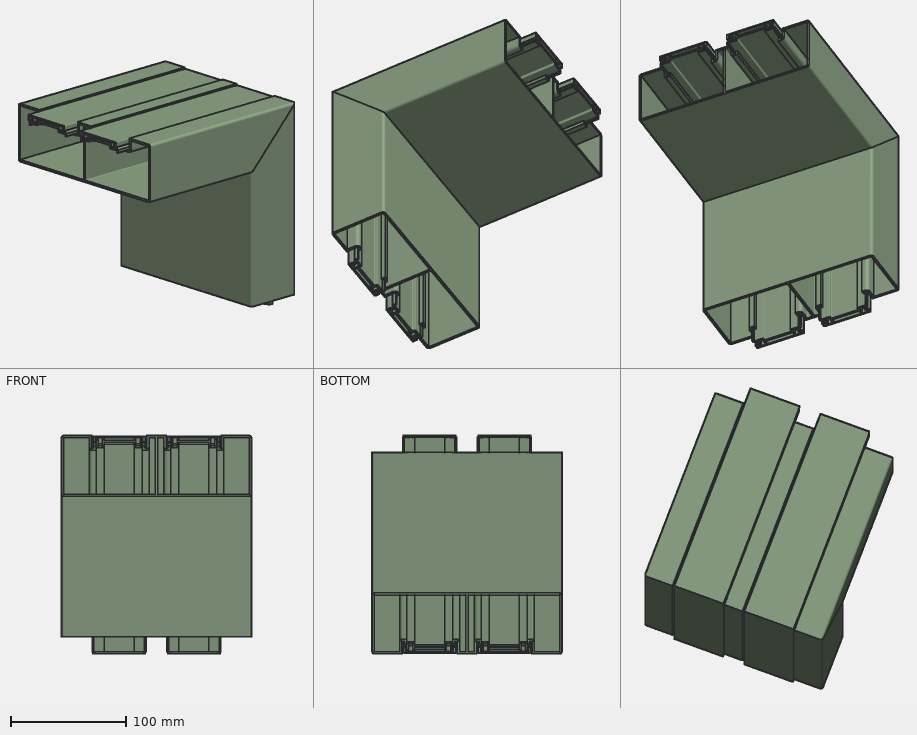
import cadquery as cq


WIDTH = 165.0
ARM_HEIGHT = 53.0
HOUSING_LENGTH = 174.9
WALL = 1.9
EDGE_RADIUS = 2.5
DIVIDER_FILLET = 0.5

SLOT_OFFSET = 32.5
SLOT_HALF = 23.9
HOOK_LENGTH = 12.9
HOOK_WALL = 2.0
HOOK_OPENING = 1.9
HOOK_RADIUS = 3.0

LID_LENGTH = 189.7
LID_HALF = 22.8
LID_TOP = 0.8
LID_UNDERSIDE = 2.0
LID_LEG = 2.0
LID_BOTTOM = 5.7
LID_EDGE_RADIUS = 0.5

RAIL_SETBACK = 1.7
RAIL_HALF = 23.3
WEB_TOP = 4.2
WEB_BOTTOM = 6.0
BASE_TOP = 7.2
BASE_BOTTOM = 9.0
RAIL_WALL = 1.5
OUTER_UPRIGHT_HALF = 19.7
INNER_UPRIGHT_HALF = 14.6
WEB_FILLET = 0.5
BEAD_TOP = 5.9
BEAD_WIDEST_TOP = 8.0
BEAD_WIDEST_BOTTOM = 9.3
BEAD_BOTTOM_BEVEL = 0.2

HOOK_OUTER_HALF = SLOT_HALF + HOOK_WALL
HOOK_FLOOR = HOOK_LENGTH - HOOK_WALL
LIP_HALF = SLOT_HALF - HOOK_OPENING
LID_INNER_HALF = LID_HALF - LID_LEG
RAIL_LENGTH = LID_LENGTH - RAIL_SETBACK
SLOT_CENTRES = (-SLOT_OFFSET, SLOT_OFFSET)


def block(x_min, x_max, depth_min, depth_max, length):
    """Straight bar along the Y arm, from the corner plane Y = 0 to Y = -length."""
    bar = cq.Workplane("XY").box(x_max - x_min, length, depth_max - depth_min, centered=False)
    return bar.translate((x_min, -length, -depth_max))


def symmetric_bar(half_outline, length):
    """Bar along the Y arm from (half width, depth) points, mirrored about X = 0."""
    right = [(x, -depth) for x, depth in half_outline]
    left = [(-x, z) for x, z in reversed(right)]
    return cq.Workplane("XZ").polyline(right + left).close().extrude(length)


def mitre(bar, setback=0.0):
    """Keep the part of a Y arm bar on the -Y side of the 45 degree plane Y = Z - setback."""
    reach = LID_LENGTH
    corner_wedge = (
        cq.Workplane("YZ")
        .polyline([(-setback, 0), (reach, 0), (reach, -reach), (-reach - setback, -reach)])
        .close()
        .extrude(WIDTH / 2, both=True)
    )
    return bar.cut(corner_wedge)


def swing_to_z_arm(bar):
    """Reflect a Y arm body in the mitre plane, which turns it into its Z arm twin."""
    return bar.mirror(cq.Vector(0, 1, -1))


def fillet_beside_divider(housing):
    """Round the inner corners of the narrow spaces between the divider and its nearest hooks."""
    reach = SLOT_OFFSET - HOOK_OUTER_HALF + DIVIDER_FILLET
    for depth in (WALL, ARM_HEIGHT - WALL):
        strip = cq.selectors.BoxSelector(
            (-reach, -HOUSING_LENGTH, -depth - DIVIDER_FILLET),
            (reach, 0, -depth + DIVIDER_FILLET),
        )
        housing = housing.edges("|Y").edges(strip).fillet(DIVIDER_FILLET)
    return housing


def make_housing():
    """Rectangular tube with a central divider and two slots, each lined by a pair of J hooks."""
    tube = block(-WIDTH / 2, WIDTH / 2, 0, ARM_HEIGHT, HOUSING_LENGTH).edges("|Y").fillet(EDGE_RADIUS)
    bore = block(-WIDTH / 2 + WALL, WIDTH / 2 - WALL, WALL, ARM_HEIGHT - WALL, HOUSING_LENGTH)
    divider = block(-WALL / 2, WALL / 2, 0, ARM_HEIGHT, HOUSING_LENGTH)
    housing = tube.cut(bore).union(divider)
    opening_half = LIP_HALF - HOOK_WALL
    for centre in SLOT_CENTRES:
        hooks = block(-HOOK_OUTER_HALF, HOOK_OUTER_HALF, 0, HOOK_LENGTH, HOUSING_LENGTH)
        hooks = hooks.edges("|Y and <Z").fillet(HOOK_RADIUS)
        channel = block(-SLOT_HALF, SLOT_HALF, 0, HOOK_FLOOR, HOUSING_LENGTH)
        lips = block(-LIP_HALF, LIP_HALF, BASE_BOTTOM, HOOK_LENGTH, HOUSING_LENGTH)
        opening = block(-opening_half, opening_half, 0, HOOK_LENGTH, HOUSING_LENGTH)
        housing = housing.union(hooks.translate((centre, 0, 0)))
        housing = housing.cut(channel.translate((centre, 0, 0)))
        housing = housing.union(lips.translate((centre, 0, 0)))
        housing = housing.cut(opening.translate((centre, 0, 0)))
    return mitre(fillet_beside_divider(housing))


def make_lid(centre):
    """Flat cover with a short leg along each side."""
    plate = block(-LID_HALF, LID_HALF, LID_TOP, LID_BOTTOM, LID_LENGTH)
    plate = plate.edges("|Y").fillet(LID_EDGE_RADIUS)
    recess = block(-LID_INNER_HALF, LID_INNER_HALF, LID_UNDERSIDE, LID_BOTTOM, LID_LENGTH)
    return mitre(plate.cut(recess)).translate((centre, 0, 0))


def make_rail(centre):
    """Web with a double-walled base on each side, whose outer bead sits in the housing hook."""
    web_end = INNER_UPRIGHT_HALF - RAIL_WALL
    half_outline = [
        (web_end, WEB_TOP),
        (web_end, LID_UNDERSIDE),
        (INNER_UPRIGHT_HALF, LID_UNDERSIDE),
        (INNER_UPRIGHT_HALF, BASE_TOP),
        (OUTER_UPRIGHT_HALF - RAIL_WALL, BASE_TOP),
        (OUTER_UPRIGHT_HALF - RAIL_WALL, LID_UNDERSIDE),
        (OUTER_UPRIGHT_HALF, LID_UNDERSIDE),
        (OUTER_UPRIGHT_HALF, BASE_TOP),
        (LID_INNER_HALF, BASE_TOP),
        (LID_INNER_HALF, BEAD_TOP),
        (RAIL_HALF - (BEAD_WIDEST_TOP - BEAD_TOP), BEAD_TOP),
        (RAIL_HALF, BEAD_WIDEST_TOP),
        (RAIL_HALF, BEAD_WIDEST_BOTTOM),
        (RAIL_HALF - BEAD_BOTTOM_BEVEL, HOOK_FLOOR),
        (LIP_HALF, HOOK_FLOOR),
        (LIP_HALF, BASE_BOTTOM),
        (web_end, BASE_BOTTOM),
        (web_end, WEB_BOTTOM),
    ]
    rail = symmetric_bar(half_outline, RAIL_LENGTH)
    near_web = cq.selectors.BoxSelector(
        (-web_end - WEB_FILLET, -RAIL_LENGTH, -BASE_BOTTOM - WEB_FILLET),
        (web_end + WEB_FILLET, 0, -WEB_TOP + WEB_FILLET),
    )
    rail = rail.edges("|Y").edges(near_web).fillet(WEB_FILLET)
    return mitre(rail, RAIL_SETBACK).translate((centre, 0, 0))


y_arm_bodies = [make_housing()]
for slot_centre in SLOT_CENTRES:
    y_arm_bodies.append(make_lid(slot_centre))
    y_arm_bodies.append(make_rail(slot_centre))

z_arm_bodies = [swing_to_z_arm(body) for body in y_arm_bodies]

result = cq.Compound.makeCompound([body.val() for body in y_arm_bodies + z_arm_bodies])